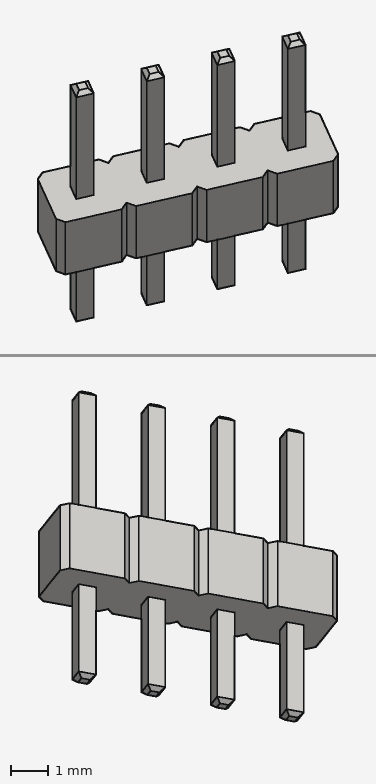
import cadquery as cq

pin_count = 4
body_length = 8.0
pitch = body_length / pin_count
body_width = pitch
body_height = pitch
corner_chamfer = 0.2
pin_length = 8.8
pin_side = 0.5
tip_chamfer = 0.12
tail_length = 2.8

pin_positions = [(i - (pin_count - 1) / 2) * pitch for i in range(pin_count)]


def housing_cell(y):
    """Cube with chamfered upright edges; neighbouring chamfers form V-notches."""
    return (
        cq.Workplane("XY")
        .box(body_width, pitch, body_height, centered=(True, True, False))
        .edges("|Z")
        .chamfer(corner_chamfer)
        .translate((0, y, 0))
    )


def pin(y):
    """Square pin through the housing, tapered at both tips."""
    return (
        cq.Workplane("XY")
        .box(pin_side, pin_side, pin_length, centered=(True, True, False))
        .faces("<Z or >Z")
        .chamfer(tip_chamfer)
        .translate((0, y, -tail_length))
    )


result = cq.Workplane("XY")
for position in pin_positions:
    result = result.add(housing_cell(position)).add(pin(position))
result = result.combine(clean=True)